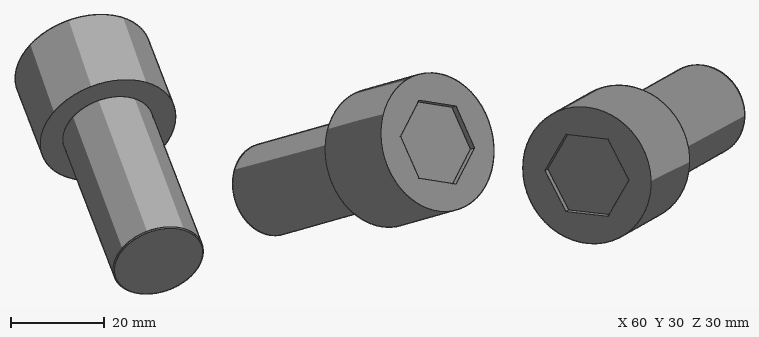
import cadquery as cq
import math

total_length = 60.0
head_diameter = 30.0
head_length = 20.0
shank_diameter = 20.0
tip_chamfer = 0.25
socket_across_flats = 17.0
socket_depth = 1.5

head_face_x = -total_length / 2
socket_across_corners = socket_across_flats / math.cos(math.pi / 6)

head_plane = cq.Workplane("YZ", origin=(head_face_x, 0, 0))

head = head_plane.circle(head_diameter / 2).extrude(head_length)

shank = (
    head_plane.circle(shank_diameter / 2)
    .extrude(total_length)
    .faces(">X")
    .chamfer(tip_chamfer)
)

socket = head_plane.polygon(6, socket_across_corners).extrude(socket_depth)

result = head.union(shank).cut(socket)